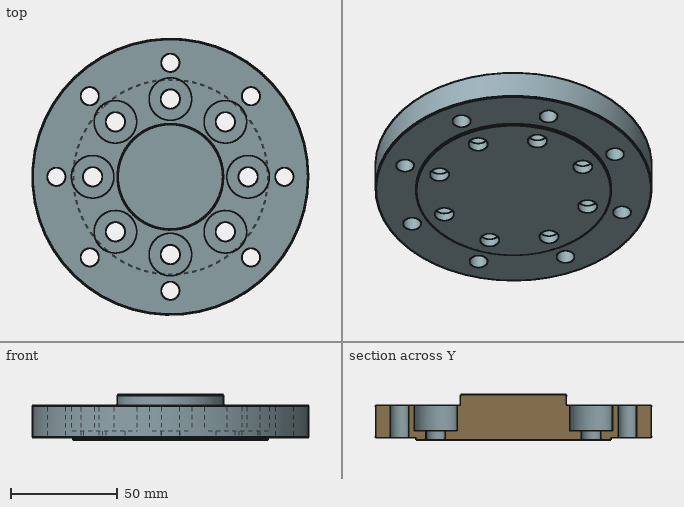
import cadquery as cq

overall_height = 21.5
edge_break = 0.5

disk_diameter = 130.0
disk_thickness = 15.5

boss_diameter = 50.0

raised_face_diameter = 92.0
raised_face_height = 1.0

boss_height = overall_height - disk_thickness - raised_face_height

holes_per_circle = 8
outer_hole_diameter = 8.5
outer_circle_radius = 53.5
bolt_hole_diameter = 9.0
bolt_circle_radius = 36.5
counterbore_diameter = 20.0
counterbore_depth = 12.0


def make_disk():
    disk = cq.Workplane("XY").circle(disk_diameter / 2).extrude(disk_thickness)
    return disk.edges().chamfer(edge_break)


def make_boss():
    boss = (
        cq.Workplane("XY")
        .workplane(offset=disk_thickness)
        .circle(boss_diameter / 2)
        .extrude(boss_height)
    )
    return boss.faces(">Z").edges().chamfer(edge_break)


def make_raised_face():
    face = cq.Workplane("XY").circle(raised_face_diameter / 2).extrude(-raised_face_height)
    return face.faces("<Z").edges().chamfer(edge_break)


def on_hole_circle(body, radius):
    """Select hole centres evenly spaced around a circle on the disk's top plane."""
    return body.copyWorkplane(
        cq.Workplane("XY", origin=(0, 0, disk_thickness))
    ).polarArray(radius, 0, 360, holes_per_circle)


def round_boss_foot(body):
    """Blend the foot of the boss into the top face of the disk."""
    reach = boss_diameter / 2 + edge_break
    foot_box = cq.selectors.BoxSelector(
        (-reach, -reach, disk_thickness - edge_break / 2),
        (reach, reach, disk_thickness + edge_break / 2),
        boundingbox=True,
    )
    return body.edges(foot_box).fillet(edge_break)


result = round_boss_foot(make_disk().union(make_boss()))
result = result.union(make_raised_face())
result = on_hole_circle(result, outer_circle_radius).hole(outer_hole_diameter)
result = on_hole_circle(result, bolt_circle_radius).cboreHole(
    bolt_hole_diameter, counterbore_diameter, counterbore_depth
)